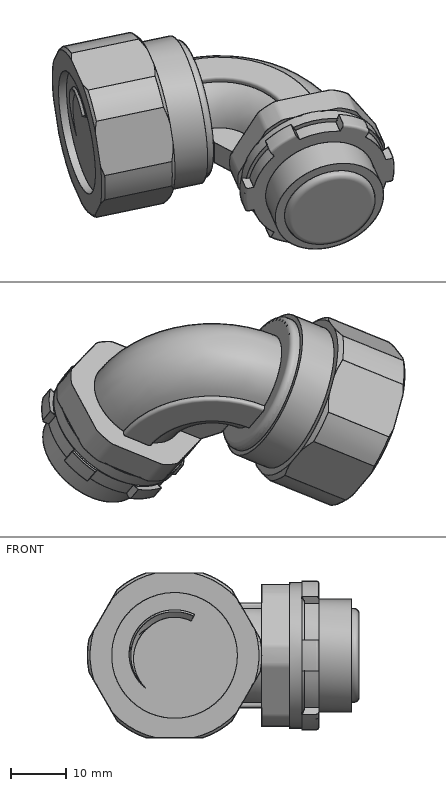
import cadquery as cq
import math


bend_radius = 15.75
tube_diameter = 18.0
rib_width = 5.8
rib_height = 19.0
rib_edge_radius = 0.5
web_thickness = 5.0
web_foot_on_inlet = 3.4
web_foot_on_outlet = 2.4

flange_diameter = 25.6
flange_length = 1.65
flange_edge_radius = 1.0
collar_diameter = 27.3
collar_length = 6.6
nut_flats = 29.85
nut_corner_diameter = 31.56
nut_length = 13.95
nut_back_chamfer = 0.75
nut_face_chamfer = 0.5
mouth_diameter = 22.75
mouth_depth = 1.5

flange_start = bend_radius
collar_start = flange_start + flange_length
nut_start = collar_start + collar_length
nut_face = nut_start + nut_length
mouth_floor = nut_face - mouth_depth

ridge_outer_radius = 8.25
ridge_crest_radius = 7.9
ridge_inner_radius = 6.9
ridge_outer_depth = 0.5
ridge_inner_depth = 0.9
ridge_rise = 1.57
ridge_start_angle = 228.0
ridge_end_angle = 64.0

hexagon_flats = 25.72
hexagon_corner_diameter = 27.8
hexagon_length = 5.05
hexagon_edge_radius = 2.0
washer_diameter = 26.4
washer_length = 2.25
locknut_diameter = 25.6
locknut_gap = 0.45
locknut_length = 2.6
lug_count = 6
lug_diameter = 28.4
lug_width = 5.6
lug_undercut = 1.1
lug_edge_radius = 0.5
thread_diameter = 20.5
thread_end = 32.05
tip_diameter = 17.0
tip_end = 33.41
tip_edge_radius = 1.0

hexagon_start = bend_radius
washer_start = hexagon_start + hexagon_length
washer_end = washer_start + washer_length
locknut_start = washer_end + locknut_gap
locknut_end = locknut_start + locknut_length


def inlet_plane(distance):
    """Plane across the inlet axis, facing -Y, with local x along X and local y along Z."""
    return cq.Workplane("XZ", origin=(0, -distance, 0))


def outlet_plane(distance):
    """Plane across the outlet axis, facing +X, with local x along Y and local y along Z."""
    return cq.Workplane("YZ", origin=(distance, 0, 0))


def hexagon(plane, flats, length):
    """Hexagonal prism with one pair of flats facing up and down."""
    return plane.polygon(6, flats / math.cos(math.pi / 6)).extrude(length)


def bend(section):
    """Turn a section on the flange face through 90 degrees to the outlet hexagon."""
    return section.revolve(90, (bend_radius, 0, 0), (bend_radius, -1, 0))


def make_elbow():
    tube = bend(inlet_plane(bend_radius).circle(tube_diameter / 2))
    rib_section = cq.Sketch().rect(rib_width, rib_height).vertices().fillet(rib_edge_radius)
    ribs = bend(inlet_plane(bend_radius).placeSketch(rib_section))
    return tube.union(ribs)


def make_web():
    """Flat gusset across the inner corner of the bend."""
    buried_root = tube_diameter / 4
    return (
        cq.Workplane("XY", origin=(0, 0, -web_thickness / 2))
        .moveTo(buried_root, -bend_radius)
        .lineTo(bend_radius - web_foot_on_inlet, -bend_radius)
        .lineTo(bend_radius, -bend_radius + web_foot_on_outlet)
        .lineTo(bend_radius, -buried_root)
        .close()
        .extrude(web_thickness)
    )


def make_inlet_nut():
    nut = hexagon(inlet_plane(nut_start), nut_flats, nut_length)
    corner_rounding = (
        inlet_plane(nut_start)
        .circle(nut_corner_diameter / 2)
        .extrude(nut_length)
        .faces(">Y")
        .chamfer(nut_back_chamfer)
        .faces("<Y")
        .chamfer(nut_face_chamfer)
    )
    mouth = inlet_plane(mouth_floor).circle(mouth_diameter / 2).extrude(mouth_depth)
    return nut.intersect(corner_rounding).cut(mouth)


def make_inlet():
    flange = (
        inlet_plane(flange_start)
        .circle(flange_diameter / 2)
        .extrude(flange_length)
        .faces(">Y")
        .edges()
        .fillet(flange_edge_radius)
    )
    collar = inlet_plane(collar_start).circle(collar_diameter / 2).extrude(collar_length)
    return flange.union(collar).union(make_inlet_nut())


def make_ridge():
    """Slim coil that climbs out of the mouth floor along a left-hand helix."""
    turn = ridge_start_angle - ridge_end_angle
    pitch = ridge_rise * 360 / turn
    path = cq.Wire.makeHelix(pitch, ridge_rise, ridge_crest_radius, lefthand=True)
    ridge = (
        cq.Workplane("XZ")
        .moveTo(ridge_crest_radius, 0)
        .lineTo(ridge_outer_radius, -ridge_outer_depth)
        .lineTo(ridge_inner_radius, -ridge_inner_depth)
        .close()
        .sweep(cq.Workplane(path), isFrenet=True)
    )
    return (
        ridge.rotate((0, 0, 0), (0, 0, 1), ridge_start_angle)
        .rotate((0, 0, 0), (1, 0, 0), 90)
        .translate((0, -mouth_floor, 0))
    )


def make_outlet_hexagon():
    corner_rounding = (
        outlet_plane(hexagon_start).circle(hexagon_corner_diameter / 2).extrude(hexagon_length)
    )
    return (
        hexagon(outlet_plane(hexagon_start), hexagon_flats, hexagon_length)
        .intersect(corner_rounding)
        .edges("|X")
        .fillet(hexagon_edge_radius)
    )


def make_locknut():
    """Ring with hooked lugs whose tips touch the washer."""
    lug_radius = lug_diameter / 2
    ring = (
        outlet_plane(locknut_start).circle(locknut_diameter / 2).extrude(locknut_length)
    )
    lug_ring = (
        cq.Workplane("XY")
        .moveTo(locknut_start, 0)
        .lineTo(locknut_start, lug_radius - lug_undercut)
        .lineTo(washer_end, lug_radius)
        .lineTo(locknut_end - lug_edge_radius, lug_radius)
        .radiusArc((locknut_end, lug_radius - lug_edge_radius), lug_edge_radius)
        .lineTo(locknut_end, 0)
        .close()
        .revolve(360, (0, 0, 0), (1, 0, 0))
    )
    bar = outlet_plane(washer_end).rect(lug_diameter, lug_width).extrude(locknut_end - washer_end)
    for index in range(lug_count // 2):
        turned_bar = bar.rotate((0, 0, 0), (1, 0, 0), index * 360 / lug_count)
        ring = ring.union(lug_ring.intersect(turned_bar))
    return ring


def make_outlet():
    washer = outlet_plane(washer_start).circle(washer_diameter / 2).extrude(washer_length)
    thread = outlet_plane(washer_end).circle(thread_diameter / 2).extrude(thread_end - washer_end)
    tip = (
        outlet_plane(thread_end)
        .circle(tip_diameter / 2)
        .extrude(tip_end - thread_end)
        .faces(">X")
        .edges()
        .fillet(tip_edge_radius)
    )
    return make_outlet_hexagon().union(washer).union(thread).union(make_locknut()).union(tip)


result = make_elbow().union(make_web()).union(make_inlet()).union(make_outlet()).union(make_ridge())